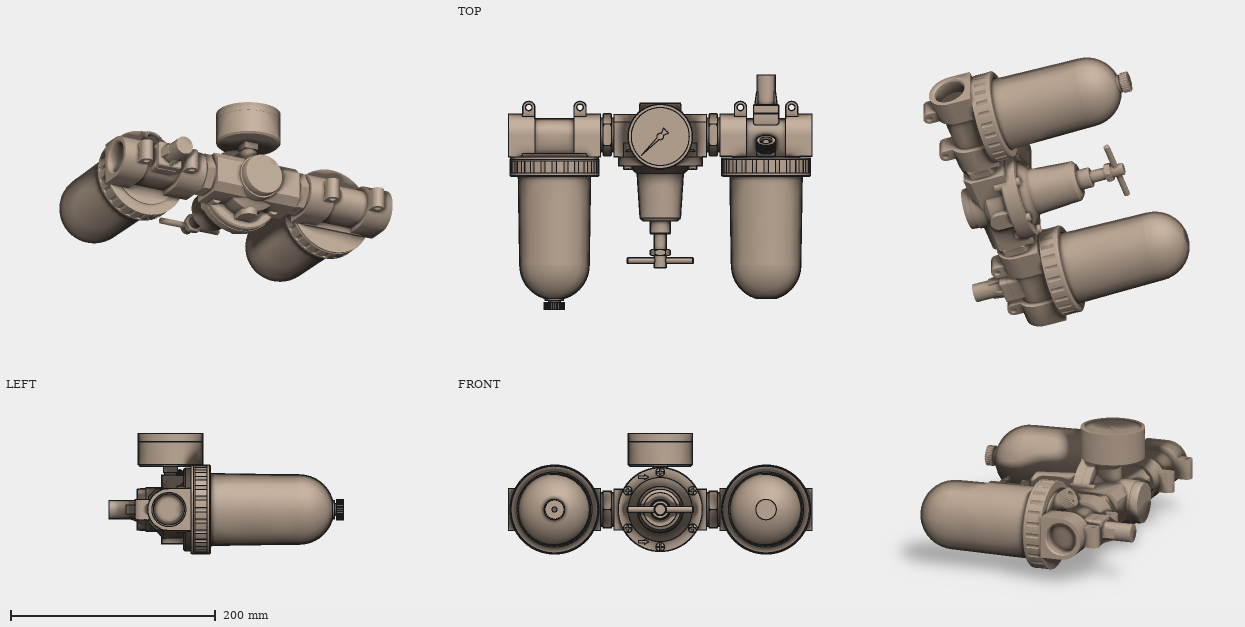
import cadquery as cq
import math


TOTAL_LENGTH = 296.5
HEAD_LENGTH = 90.0
REGULATOR_LENGTH = 90.5
UNIT_X = (TOTAL_LENGTH - HEAD_LENGTH) / 2
NIPPLE_GAP = UNIT_X - HEAD_LENGTH / 2 - REGULATOR_LENGTH / 2
NIPPLE_X = REGULATOR_LENGTH / 2 + NIPPLE_GAP / 2

CUT_MARGIN = 1.0

THREAD_DIA = 33.25
PORT_BORE_DIA = 30.29
PORT_DEPTH = 16.0
PORT_CHAMFER = (THREAD_DIA - PORT_BORE_DIA) / 2
NIPPLE_HEX_FLATS = 36.0
NIPPLE_HEX_WIDTH = 8.0
NIPPLE_HEX_CHAMFER = 1.0

HEAD_RADIUS = 20.6
WAIST_RADIUS = 15.8
WAIST_LENGTH = 38.0
FILTER_FRONT_Y = -21.6
PAD_BACK_Y = -18.4
PAD_BACK_LENGTH = 61.5
PAD_FRONT_LENGTH = 65.0
PAD_HALF_HEIGHT = 21.2
LUBRICATOR_FRONT_Y = -20.9
LUBRICATOR_NECK_RADIUS = 33.0
LUBRICATOR_NECK_LENGTH = 1.6
LUG_SPACING = 50.0
LUG_RADIUS = 6.0
LUG_HOLE_DIA = 6.2
LUG_HOLE_Y = 26.8
LUG_HEIGHT = 20.0

COLLAR_RADIUS = 43.5
COLLAR_FRONT_Y = -40.7
COLLAR_CHAMFER = 1.2
COLLAR_LIP_RADIUS = 36.7
COLLAR_LIP_DEPTH = 3.0
SHOULDER_RADIUS = 43.0
SHOULDER_LENGTH = 2.5
FLUTE_COUNT = 24
FLUTE_RADIUS = 2.5
FLUTE_CIRCLE_RADIUS = COLLAR_RADIUS + 1.0
FLUTE_FRONT_Y = -37.0
FLUTE_BACK_OFFSET = 1.5
GRIP_DEPTH = 0.2

BOWL_SEAT_Y = -26.0
BOWL_NECK_RADIUS = 35.4
DOME_RADIUS = 34.0
DOME_START_Y = -127.0
DOME_FLAT_RADIUS = 10.0

DRAIN_END_Y = -170.5
DRAIN_RADIUS = 10.0
DRAIN_KNOB_LENGTH = 7.0
DRAIN_STEM_RADIUS = 6.0
DRAIN_DISC_RADIUS = 9.0
DRAIN_DISC_WIDTH = 2.0
DRAIN_HOLE_DIA = 5.0
DRAIN_HOLE_DEPTH = 4.0
DRAIN_KNURLS = 24
KNURL_RADIUS = 0.6

SIGHT_BASE_WIDTH = 25.0
SIGHT_BASE_BACK_Y = 29.7
SIGHT_BASE_CORNER = 2.5
SIGHT_BASE_RIM = 1.0
SIGHT_GROOVE_Y = 21.0
SIGHT_GROOVE_WIDTH = 1.0
SIGHT_GROOVE_DEPTH = 0.5
SIGHT_TUBE_RADIUS = 9.0
SIGHT_TUBE_END_Y = 58.5
SIGHT_RIB_RADIUS = 11.0
SIGHT_RIB_END_Y = 42.0
SIGHT_RIB_TIP_STEP = 0.3
SIGHT_RIB_WIDTH = 9.0
GUSSET_END_Y = 38.0
GUSSET_FOOT_Z = -12.0
GUSSET_WIDTH = 4.0
PLUG_TILT = 58.0
PLUG_FACE_Y = -5.2
PLUG_FACE_Z = 31.0
PLUG_RADIUS = 9.8
PLUG_KNURL_LENGTH = 10.0
PLUG_BASE_RADIUS = 9.2
PLUG_BASE_LENGTH = 8.0
PLUG_SOCKET_DIA = 12.0
PLUG_SOCKET_DEPTH = 4.0
PLUG_HEX_DIA = 8.5
PLUG_HEX_HEIGHT = 2.5
PLUG_KNURLS = 30

REGULATOR_RADIUS = 20.0
REGULATOR_FRONT_Y = -21.6
REGULATOR_CORNER = 7.5
CAP_END_Y = 31.0
CAP_RADIUS = 20.4
CAP_TAPER = 0.6
CAP_RIM_Y = 27.5
CORE_RADIUS = 21.5
CORE_BACK_Y = 22.5
CORE_FLARE_RADIUS = 28.0
CORE_FLARE_Y = -7.0
BELLY_RADIUS = 29.0
BELLY_BACK_Y = 11.5
BELLY_SHOULDER_Y = 5.0
FLANGE_RADIUS = 41.0
FLANGE_FRONT_Y = -30.3
SKIRT_RADIUS = 31.3
HOUSING_BACK_RADIUS = 22.7
HOUSING_BACK_Y = -37.7
HOUSING_FRONT_RADIUS = 19.8
HOUSING_BEVEL_Y = -81.3
HOUSING_END_RADIUS = 16.5
HOUSING_END_Y = -84.2
GUIDE_RADIUS = 10.0
GUIDE_END_Y = -96.5
GUIDE_CHAMFER = 0.7
BODY_FLANGE_RADIUS = 40.6
BODY_FLANGE_BACK_Y = -14.5
BODY_FLANGE_CHAMFER = 1.5
SCREW_COUNT = 6
SCREW_ANGLE = 30.0
SCREW_CIRCLE_RADIUS = 36.5
SCREW_DIA = 8.5
SCREW_ROUNDING = 1.2
SCREW_HEAD_HEIGHT = 3.5
SCREW_SLOT_WIDTH = 1.2
SCREW_SLOT_LENGTH = 6.0
SCREW_SLOT_DEPTH = 1.5
NUB_DIA = 9.0
NUB_BACK_Y = -8.0
ARROW_X = -18.3
ARROW_Z = 31.6
ARROW_TAIL_LENGTH = 6.0
ARROW_TAIL_HEIGHT = 2.4
ARROW_HEAD_LENGTH = 4.0
ARROW_HEAD_HEIGHT = 5.0
ARROW_THICKNESS = 0.3
STEM_RADIUS = 6.0
STEM_END_Y = -130.0
BAR_CHAMFER = 0.8
STEM_NUT_FLATS = 17.0
STEM_NUT_CHAMFER = 1.2
STEM_NUT_BACK_Y = -111.8
STEM_NUT_WIDTH = 6.0
HANDLE_DIA = 6.0
HANDLE_LENGTH = 65.0
HANDLE_Y = -122.7

GAUGE_Y = -1.6
GAUGE_TOP_Z = 74.3
GAUGE_BOTTOM_Z = 42.2
GAUGE_RADIUS = 31.5
GAUGE_CHAMFER = 1.8
GAUGE_SEAM_Z = 66.3
GAUGE_SEAM_SIZE = 0.3
GAUGE_FACE_RADIUS = 28.3
GAUGE_FACE_DEPTH = 1.0
GAUGE_SQUARE = 14.0
GAUGE_SQUARE_BOTTOM_Z = 36.0
GAUGE_THREAD_DIA = 12.0
GAUGE_THREAD_DEPTH = 10.0
GAUGE_BOSS_RADIUS = 8.7
GAUGE_BOSS_Z = 33.5
POINTER_HEIGHT = 0.4
POINTER_HUB_RADIUS = 3.2
POINTER_ANGLE = 225.0
POINTER_LENGTH = 26.0
POINTER_TAIL = 8.0
NEEDLE_WIDTH = 3.0
TAIL_WIDTH = 7.0


def turned(points):
    """Solid of revolution about the Y axis from (radius, y) corners."""
    return cq.Workplane("XY").polyline(points).close().revolve(360, (0, 0, 0), (0, 1, 0))


def along_y(x, z, y):
    """Workplane facing -Y through (x, y, z); its local axes are +X and +Z."""
    return cq.Workplane("XZ", origin=(x, y, z))


def d_block(length, radius, front_y):
    """Block along X with a half-round back and a flat front."""
    return (
        cq.Workplane("YZ")
        .moveTo(front_y, radius)
        .lineTo(0, radius)
        .threePointArc((radius, 0), (0, -radius))
        .lineTo(front_y, -radius)
        .close()
        .extrude(length / 2, both=True)
    )


def port(face_x, side, diameter, depth):
    """Cylinder reaching from an end face into the body; side is +1 when the face looks to +X."""
    return cq.Workplane("YZ", origin=(face_x, 0, 0)).circle(diameter / 2).extrude(-side * depth)


def open_port(face_x, side):
    """Blind threaded port with a chamfered mouth."""
    bore = port(face_x, side, PORT_BORE_DIA, PORT_DEPTH)
    mouth = (
        cq.Workplane("YZ", origin=(face_x, 0, 0))
        .circle(THREAD_DIA / 2)
        .workplane(offset=-side * PORT_CHAMFER)
        .circle(PORT_BORE_DIA / 2)
        .loft()
    )
    return bore.union(mouth)


def mounting_lug(x):
    """Lug behind the head and its upright through hole, as two solids."""
    lug = (
        cq.Workplane("XY")
        .moveTo(x - LUG_RADIUS, 0)
        .lineTo(x - LUG_RADIUS, LUG_HOLE_Y)
        .threePointArc((x, LUG_HOLE_Y + LUG_RADIUS), (x + LUG_RADIUS, LUG_HOLE_Y))
        .lineTo(x + LUG_RADIUS, 0)
        .close()
        .extrude(LUG_HEIGHT / 2, both=True)
    )
    hole = (
        cq.Workplane("XY").center(x, LUG_HOLE_Y).circle(LUG_HOLE_DIA / 2).extrude(LUG_HEIGHT, both=True)
    )
    return lug, hole


def collar(back_y):
    """Ring that carries the bowl, with a sunk fluted grip band and a wide lip around the bowl."""
    ring = turned([
        (0, back_y),
        (COLLAR_RADIUS, back_y),
        (COLLAR_RADIUS, COLLAR_FRONT_Y + COLLAR_CHAMFER),
        (COLLAR_RADIUS - COLLAR_CHAMFER, COLLAR_FRONT_Y),
        (COLLAR_LIP_RADIUS, COLLAR_FRONT_Y),
        (COLLAR_LIP_RADIUS, COLLAR_FRONT_Y + COLLAR_LIP_DEPTH),
        (BOWL_NECK_RADIUS, COLLAR_FRONT_Y + COLLAR_LIP_DEPTH),
        (BOWL_NECK_RADIUS, BOWL_SEAT_Y),
        (0, BOWL_SEAT_Y),
    ])
    flute_back_y = back_y - FLUTE_BACK_OFFSET
    flutes = (
        along_y(0, 0, flute_back_y)
        .polarArray(FLUTE_CIRCLE_RADIUS, 0, 360, FLUTE_COUNT)
        .circle(FLUTE_RADIUS)
        .extrude(flute_back_y - FLUTE_FRONT_Y)
    )
    grip_band = (
        along_y(0, 0, flute_back_y)
        .circle(COLLAR_RADIUS + CUT_MARGIN)
        .circle(COLLAR_RADIUS - GRIP_DEPTH)
        .extrude(flute_back_y - FLUTE_FRONT_Y)
    )
    return ring.cut(grip_band).cut(flutes)


def head(neck, front_y, collar_back_y):
    """Ported head with waist, lugs, neck and collar, centred on its bowl axis."""
    blocks = d_block(HEAD_LENGTH, HEAD_RADIUS, front_y)
    waist_gap = cq.Workplane("XY").box(WAIST_LENGTH, 4 * HEAD_RADIUS, 4 * HEAD_RADIUS)
    body = blocks.cut(waist_gap).union(d_block(WAIST_LENGTH, WAIST_RADIUS, front_y))
    body = body.union(neck).union(collar(collar_back_y))
    for x in (-LUG_SPACING / 2, LUG_SPACING / 2):
        lug, hole = mounting_lug(x)
        body = body.union(lug).cut(hole)
    return body


def cut_ports(body, inner_side):
    """Open port on the outer end, nipple hole on the inner end."""
    body = body.cut(open_port(-inner_side * HEAD_LENGTH / 2, -inner_side))
    return body.cut(port(inner_side * HEAD_LENGTH / 2, inner_side, THREAD_DIA, PORT_DEPTH))


def make_filter_head():
    collar_back_y = FILTER_FRONT_Y - SHOULDER_LENGTH
    shoulder = along_y(0, 0, FILTER_FRONT_Y).circle(SHOULDER_RADIUS).extrude(SHOULDER_LENGTH)
    pad = (
        cq.Workplane("XY")
        .polyline([
            (-PAD_BACK_LENGTH / 2, PAD_BACK_Y),
            (PAD_BACK_LENGTH / 2, PAD_BACK_Y),
            (PAD_FRONT_LENGTH / 2, FILTER_FRONT_Y),
            (-PAD_FRONT_LENGTH / 2, FILTER_FRONT_Y),
        ])
        .close()
        .extrude(PAD_HALF_HEIGHT, both=True)
    )
    body = head(shoulder.union(pad), FILTER_FRONT_Y, collar_back_y)
    return cut_ports(body, 1).translate((-UNIT_X, 0, 0))


def sight_tube():
    """Square base and round tube along +Y, with two side ribs and a gusset below."""
    base = (
        along_y(0, 0, SIGHT_BASE_BACK_Y)
        .rect(SIGHT_BASE_WIDTH, SIGHT_BASE_WIDTH)
        .extrude(SIGHT_BASE_BACK_Y)
        .edges("|Y")
        .fillet(SIGHT_BASE_CORNER)
        .faces(">Y")
        .chamfer(SIGHT_BASE_RIM)
    )
    groove_width = SIGHT_BASE_WIDTH - 2 * SIGHT_GROOVE_DEPTH
    groove = (
        along_y(0, 0, SIGHT_GROOVE_Y + SIGHT_GROOVE_WIDTH / 2)
        .rect(2 * SIGHT_BASE_WIDTH, 2 * SIGHT_BASE_WIDTH)
        .rect(groove_width, groove_width)
        .extrude(SIGHT_GROOVE_WIDTH)
    )
    tube = along_y(0, 0, SIGHT_TUBE_END_Y).circle(SIGHT_TUBE_RADIUS).extrude(SIGHT_TUBE_END_Y)
    tip = SIGHT_TUBE_RADIUS + SIGHT_RIB_TIP_STEP
    rib = (
        cq.Workplane("XY")
        .polyline([
            (-SIGHT_RIB_RADIUS, SIGHT_BASE_BACK_Y),
            (-tip, SIGHT_RIB_END_Y),
            (tip, SIGHT_RIB_END_Y),
            (SIGHT_RIB_RADIUS, SIGHT_BASE_BACK_Y),
        ])
        .close()
        .extrude(SIGHT_RIB_WIDTH / 2, both=True)
    )
    gusset = (
        cq.Workplane("YZ")
        .polyline([
            (SIGHT_BASE_BACK_Y, 0),
            (SIGHT_BASE_BACK_Y, GUSSET_FOOT_Z),
            (GUSSET_END_Y, -SIGHT_TUBE_RADIUS),
            (GUSSET_END_Y, 0),
        ])
        .close()
        .extrude(GUSSET_WIDTH / 2, both=True)
    )
    return base.cut(groove).union(tube).union(rib).union(gusset)


def oil_plug():
    """Knurled filler plug tilted backwards above the waist."""
    tilt = math.radians(PLUG_TILT)
    face = cq.Plane(
        origin=(0, PLUG_FACE_Y, PLUG_FACE_Z),
        xDir=(1, 0, 0),
        normal=(0, math.sin(tilt), math.cos(tilt)),
    )
    knob = cq.Workplane(face).circle(PLUG_RADIUS).extrude(-PLUG_KNURL_LENGTH)
    knurls = (
        cq.Workplane(face)
        .polarArray(PLUG_RADIUS, 0, 360, PLUG_KNURLS)
        .circle(KNURL_RADIUS)
        .extrude(-PLUG_KNURL_LENGTH)
    )
    base = cq.Workplane(face).circle(PLUG_BASE_RADIUS).extrude(-PLUG_KNURL_LENGTH - PLUG_BASE_LENGTH)
    socket = cq.Workplane(face).circle(PLUG_SOCKET_DIA / 2).extrude(-PLUG_SOCKET_DEPTH)
    hexagon = (
        cq.Workplane(face)
        .workplane(offset=-PLUG_SOCKET_DEPTH)
        .polygon(6, PLUG_HEX_DIA)
        .extrude(PLUG_HEX_HEIGHT)
    )
    return knob.cut(knurls).union(base).cut(socket).union(hexagon)


def make_lubricator_head():
    neck = (
        along_y(0, 0, LUBRICATOR_FRONT_Y)
        .circle(LUBRICATOR_NECK_RADIUS)
        .extrude(LUBRICATOR_NECK_LENGTH)
    )
    body = head(neck, LUBRICATOR_FRONT_Y, LUBRICATOR_FRONT_Y - LUBRICATOR_NECK_LENGTH)
    body = body.union(sight_tube()).union(oil_plug())
    return cut_ports(body, -1).translate((UNIT_X, 0, 0))


DOME_FLAT_Y = DOME_START_Y - math.sqrt(DOME_RADIUS**2 - DOME_FLAT_RADIUS**2)


def bowl():
    """Slightly tapered bowl with a spherical dome and a small flat end."""
    mid_angle = math.acos(DOME_FLAT_RADIUS / DOME_RADIUS) / 2
    dome_middle = (
        DOME_RADIUS * math.cos(mid_angle),
        DOME_START_Y - DOME_RADIUS * math.sin(mid_angle),
    )
    return (
        cq.Workplane("XY")
        .moveTo(0, BOWL_SEAT_Y)
        .lineTo(BOWL_NECK_RADIUS, BOWL_SEAT_Y)
        .lineTo(BOWL_NECK_RADIUS, COLLAR_FRONT_Y)
        .lineTo(DOME_RADIUS, DOME_START_Y)
        .threePointArc(dome_middle, (DOME_FLAT_RADIUS, DOME_FLAT_Y))
        .lineTo(0, DOME_FLAT_Y)
        .close()
        .revolve(360, (0, 0, 0), (0, 1, 0))
    )


def drain_knob():
    """Knurled drain knob on a grooved stem."""
    knob_back_y = DRAIN_END_Y + DRAIN_KNOB_LENGTH
    stem = along_y(0, 0, DOME_START_Y).circle(DRAIN_STEM_RADIUS).extrude(DOME_START_Y - knob_back_y)
    disc = along_y(0, 0, DOME_FLAT_Y).circle(DRAIN_DISC_RADIUS).extrude(DRAIN_DISC_WIDTH)
    knob = along_y(0, 0, knob_back_y).circle(DRAIN_RADIUS).extrude(DRAIN_KNOB_LENGTH)
    knurls = (
        along_y(0, 0, knob_back_y)
        .polarArray(DRAIN_RADIUS, 0, 360, DRAIN_KNURLS)
        .circle(KNURL_RADIUS)
        .extrude(DRAIN_KNOB_LENGTH)
    )
    hole_floor_y = DRAIN_END_Y + DRAIN_HOLE_DEPTH
    hole = along_y(0, 0, hole_floor_y).circle(DRAIN_HOLE_DIA / 2).extrude(DRAIN_HOLE_DEPTH)
    return stem.union(disc).union(knob.cut(knurls)).cut(hole)


def make_filter_bowl():
    return bowl().union(drain_knob()).translate((-UNIT_X, 0, 0))


def make_lubricator_bowl():
    return bowl().translate((UNIT_X, 0, 0))


def regulator_body():
    """Ported block, round core with back cap, gauge bosses and screw flange."""
    depth = REGULATOR_RADIUS - REGULATOR_FRONT_Y
    block = (
        along_y(0, 0, REGULATOR_RADIUS)
        .rect(REGULATOR_LENGTH, 2 * REGULATOR_RADIUS)
        .extrude(depth)
        .edges("|X and >Y")
        .chamfer(REGULATOR_CORNER)
    )
    core = turned([
        (0, CAP_END_Y),
        (CAP_RADIUS - CAP_TAPER, CAP_END_Y),
        (CAP_RADIUS, CAP_RIM_Y),
        (CAP_RADIUS, CORE_BACK_Y),
        (CORE_RADIUS, CORE_BACK_Y),
        (CORE_RADIUS, CORE_FLARE_Y),
        (CORE_FLARE_RADIUS, BODY_FLANGE_BACK_Y),
        (CORE_FLARE_RADIUS, REGULATOR_FRONT_Y),
        (0, REGULATOR_FRONT_Y),
    ])
    belly = turned([
        (0, BELLY_BACK_Y),
        (CORE_RADIUS, BELLY_BACK_Y),
        (BELLY_RADIUS, BELLY_SHOULDER_Y),
        (BELLY_RADIUS, REGULATOR_FRONT_Y),
        (0, REGULATOR_FRONT_Y),
    ])
    lower_half = cq.Workplane("XY", origin=(0, 0, -BELLY_RADIUS)).box(
        4 * BELLY_RADIUS, 4 * BELLY_RADIUS, 2 * BELLY_RADIUS
    )
    belly = belly.intersect(lower_half)
    gauge_boss = (
        cq.Workplane("XY")
        .moveTo(-GAUGE_BOSS_RADIUS, REGULATOR_FRONT_Y)
        .lineTo(-GAUGE_BOSS_RADIUS, GAUGE_Y)
        .threePointArc((0, GAUGE_Y + GAUGE_BOSS_RADIUS), (GAUGE_BOSS_RADIUS, GAUGE_Y))
        .lineTo(GAUGE_BOSS_RADIUS, REGULATOR_FRONT_Y)
        .close()
        .extrude(GAUGE_BOSS_Z, both=True)
    )
    body_flange = turned([
        (0, BODY_FLANGE_BACK_Y),
        (BODY_FLANGE_RADIUS - BODY_FLANGE_CHAMFER, BODY_FLANGE_BACK_Y),
        (BODY_FLANGE_RADIUS, BODY_FLANGE_BACK_Y - BODY_FLANGE_CHAMFER),
        (BODY_FLANGE_RADIUS, REGULATOR_FRONT_Y),
        (0, REGULATOR_FRONT_Y),
    ])
    nub_x = SCREW_CIRCLE_RADIUS * math.cos(math.radians(SCREW_ANGLE))
    nub_z = SCREW_CIRCLE_RADIUS * math.sin(math.radians(SCREW_ANGLE))
    nub_points = [(x, z) for x in (-nub_x, nub_x) for z in (-nub_z, nub_z)]
    nubs = (
        along_y(0, 0, NUB_BACK_Y)
        .pushPoints(nub_points)
        .circle(NUB_DIA / 2)
        .extrude(NUB_BACK_Y - REGULATOR_FRONT_Y)
    )
    return block.union(core).union(belly).union(gauge_boss).union(body_flange).union(nubs)


def bonnet():
    """Flange and tapered spring housing ending in the spindle guide."""
    return turned([
        (0, REGULATOR_FRONT_Y),
        (FLANGE_RADIUS, REGULATOR_FRONT_Y),
        (FLANGE_RADIUS, FLANGE_FRONT_Y),
        (SKIRT_RADIUS, FLANGE_FRONT_Y),
        (HOUSING_BACK_RADIUS, HOUSING_BACK_Y),
        (HOUSING_FRONT_RADIUS, HOUSING_BEVEL_Y),
        (HOUSING_END_RADIUS, HOUSING_END_Y),
        (GUIDE_RADIUS, HOUSING_END_Y),
        (GUIDE_RADIUS, GUIDE_END_Y + GUIDE_CHAMFER),
        (GUIDE_RADIUS - GUIDE_CHAMFER, GUIDE_END_Y),
        (0, GUIDE_END_Y),
    ])


def flow_arrows():
    """Two shallow raised arrows along +X on the bonnet flange."""
    arrow = (
        along_y(0, 0, FLANGE_FRONT_Y)
        .pushPoints([(ARROW_X, ARROW_Z), (ARROW_X, -ARROW_Z)])
        .rect(ARROW_TAIL_LENGTH, ARROW_TAIL_HEIGHT)
        .extrude(ARROW_THICKNESS)
    )
    neck_x = ARROW_X + ARROW_TAIL_LENGTH / 2
    for z in (ARROW_Z, -ARROW_Z):
        tip = (
            along_y(neck_x, z, FLANGE_FRONT_Y)
            .polyline([(0, ARROW_HEAD_HEIGHT / 2), (ARROW_HEAD_LENGTH, 0), (0, -ARROW_HEAD_HEIGHT / 2)])
            .close()
            .extrude(ARROW_THICKNESS)
        )
        arrow = arrow.union(tip)
    return arrow


def bonnet_screws():
    """Round screw heads with cross recesses."""
    heads = (
        along_y(0, 0, FLANGE_FRONT_Y)
        .polarArray(SCREW_CIRCLE_RADIUS, SCREW_ANGLE, 360, SCREW_COUNT)
        .circle(SCREW_DIA / 2)
        .extrude(SCREW_HEAD_HEIGHT)
        .faces("<Y")
        .edges()
        .fillet(SCREW_ROUNDING)
    )
    slot_floor_y = FLANGE_FRONT_Y - SCREW_HEAD_HEIGHT + SCREW_SLOT_DEPTH
    for size in ((SCREW_SLOT_LENGTH, SCREW_SLOT_WIDTH), (SCREW_SLOT_WIDTH, SCREW_SLOT_LENGTH)):
        slots = (
            along_y(0, 0, slot_floor_y)
            .polarArray(SCREW_CIRCLE_RADIUS, SCREW_ANGLE, 360, SCREW_COUNT, rotate=False)
            .rect(*size)
            .extrude(SCREW_SLOT_DEPTH)
        )
        heads = heads.cut(slots)
    return heads


def adjusting_spindle():
    """Spindle with lock nut and cross handle."""
    spindle = (
        along_y(0, 0, FLANGE_FRONT_Y)
        .circle(STEM_RADIUS)
        .extrude(FLANGE_FRONT_Y - STEM_END_Y)
        .faces("<Y")
        .chamfer(BAR_CHAMFER)
    )
    nut_corners = STEM_NUT_FLATS / math.cos(math.pi / 6)
    nut = along_y(0, 0, STEM_NUT_BACK_Y).polygon(6, nut_corners).extrude(STEM_NUT_WIDTH)
    rounding = (
        along_y(0, 0, STEM_NUT_BACK_Y)
        .circle(nut_corners / 2)
        .extrude(STEM_NUT_WIDTH)
        .edges()
        .chamfer(STEM_NUT_CHAMFER)
    )
    handle = (
        cq.Workplane("YZ", origin=(-HANDLE_LENGTH / 2, HANDLE_Y, 0))
        .circle(HANDLE_DIA / 2)
        .extrude(HANDLE_LENGTH)
        .edges()
        .chamfer(BAR_CHAMFER)
    )
    return spindle.union(nut.intersect(rounding)).union(handle)


def make_regulator():
    body = regulator_body().union(bonnet())
    body = body.union(flow_arrows()).union(bonnet_screws()).union(adjusting_spindle())
    for side in (-1, 1):
        body = body.cut(port(side * REGULATOR_LENGTH / 2, side, THREAD_DIA, PORT_DEPTH))
    gauge_hole = (
        cq.Workplane("XY", origin=(0, GAUGE_Y, GAUGE_BOSS_Z))
        .circle(GAUGE_THREAD_DIA / 2)
        .extrude(-GAUGE_THREAD_DEPTH)
    )
    return body.cut(gauge_hole)


def gauge_pointer():
    """Raised pointer lying along +X before it is turned into place."""
    base = cq.Workplane("XY")
    needle = (
        base.polyline([(0, -NEEDLE_WIDTH / 2), (POINTER_LENGTH, 0), (0, NEEDLE_WIDTH / 2)])
        .close()
        .extrude(POINTER_HEIGHT)
    )
    tail = (
        base.polyline([(0, 0), (-POINTER_TAIL, -TAIL_WIDTH / 2), (-POINTER_TAIL, TAIL_WIDTH / 2)])
        .close()
        .extrude(POINTER_HEIGHT)
    )
    hub = base.circle(POINTER_HUB_RADIUS).extrude(POINTER_HEIGHT)
    return hub.union(needle).union(tail).rotate((0, 0, 0), (0, 0, 1), POINTER_ANGLE)


def make_gauge():
    case = (
        cq.Workplane("XY", origin=(0, 0, GAUGE_BOTTOM_Z))
        .circle(GAUGE_RADIUS)
        .extrude(GAUGE_TOP_Z - GAUGE_BOTTOM_Z)
        .faces("<Z")
        .chamfer(GAUGE_CHAMFER)
    )
    seam = (
        cq.Workplane("XY", origin=(0, 0, GAUGE_SEAM_Z))
        .circle(GAUGE_RADIUS + CUT_MARGIN)
        .circle(GAUGE_RADIUS - GAUGE_SEAM_SIZE)
        .extrude(-GAUGE_SEAM_SIZE)
    )
    dial = (
        cq.Workplane("XY", origin=(0, 0, GAUGE_TOP_Z))
        .circle(GAUGE_FACE_RADIUS)
        .extrude(-GAUGE_FACE_DEPTH)
    )
    square = (
        cq.Workplane("XY", origin=(0, 0, GAUGE_SQUARE_BOTTOM_Z))
        .rect(GAUGE_SQUARE, GAUGE_SQUARE)
        .extrude(GAUGE_BOTTOM_Z - GAUGE_SQUARE_BOTTOM_Z)
    )
    thread_end_z = GAUGE_BOSS_Z - GAUGE_THREAD_DEPTH
    thread = (
        cq.Workplane("XY", origin=(0, 0, thread_end_z))
        .circle(GAUGE_THREAD_DIA / 2)
        .extrude(GAUGE_SQUARE_BOTTOM_Z - thread_end_z)
    )
    pointer = gauge_pointer().translate((0, 0, GAUGE_TOP_Z - GAUGE_FACE_DEPTH))
    gauge = case.cut(seam).cut(dial).union(square).union(thread).union(pointer)
    return gauge.translate((0, GAUGE_Y, 0))


def make_nipple(x):
    """Double nipple with a central hexagon whose corners point along Y."""
    corners = NIPPLE_HEX_FLATS / math.cos(math.pi / 6)
    hexagon = cq.Workplane("YZ").polygon(6, corners).extrude(NIPPLE_HEX_WIDTH / 2, both=True)
    rounding = (
        cq.Workplane("YZ")
        .circle(corners / 2)
        .extrude(NIPPLE_HEX_WIDTH / 2, both=True)
        .edges()
        .chamfer(NIPPLE_HEX_CHAMFER)
    )
    thread = cq.Workplane("YZ").circle(THREAD_DIA / 2).extrude(NIPPLE_GAP / 2 + PORT_DEPTH, both=True)
    return hexagon.intersect(rounding).union(thread).translate((x, 0, 0))


filter_head = make_filter_head()
filter_bowl = make_filter_bowl()
lubricator_head = make_lubricator_head()
lubricator_bowl = make_lubricator_bowl()
regulator = make_regulator()
gauge = make_gauge()
nipples = [make_nipple(side * NIPPLE_X) for side in (-1, 1)]

result = cq.Compound.makeCompound([
    filter_head.val(),
    filter_bowl.val(),
    lubricator_head.val(),
    lubricator_bowl.val(),
    regulator.val(),
    gauge.val(),
    *[nipple.val() for nipple in nipples],
])